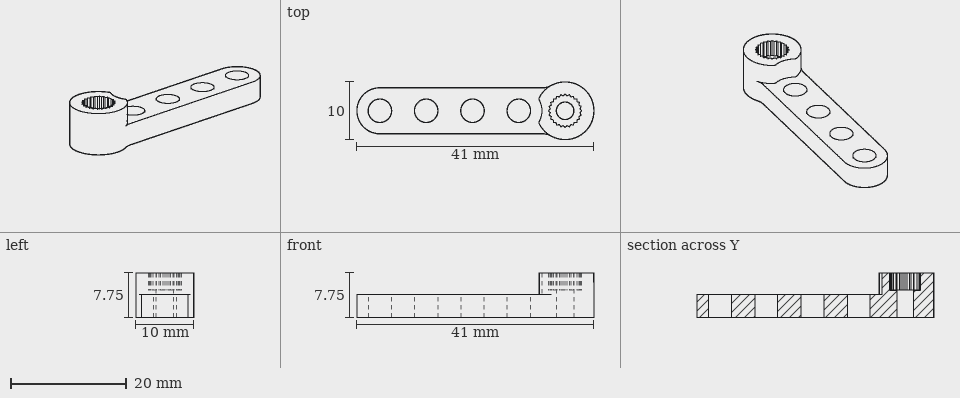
import cadquery as cq
import math

total_length = 41.0
total_height = 7.75
boss_diameter = 10.0
hole_count = 4
hole_diameter = 4.0
arm_height = 4.0
neck_radius = 3.0
notch_edge_radius = 0.5
screw_hole_diameter = 3.0
spline_teeth = 24
spline_tip_radius = 2.85
spline_root_radius = 2.6
spline_depth = 3.0

boss_radius = boss_diameter / 2
pitch = (total_length - boss_radius) / (hole_count + 0.5)
arm_radius = pitch / 2
boss_x = total_length - boss_radius
hole_centers = [(arm_radius + i * pitch, 0) for i in range(hole_count)]
last_hole_x = hole_centers[-1][0]


def make_arm():
    """Bar with a round free end, running under the boss."""
    bar = cq.Workplane("XY").moveTo(arm_radius, arm_radius).lineTo(boss_x, arm_radius)
    bar = bar.lineTo(boss_x, -arm_radius).lineTo(arm_radius, -arm_radius)
    return bar.threePointArc((0, 0), (arm_radius, arm_radius)).close().extrude(arm_height)


def make_neck(side):
    """Fillet web, tangent to the arm side and to the boss; side is +1 or -1."""
    center_y = arm_radius + neck_radius
    center_distance = boss_radius + neck_radius
    center_x = boss_x - math.sqrt(center_distance**2 - center_y**2)
    touch_x = boss_x + (center_x - boss_x) * boss_radius / center_distance
    touch_y = center_y * boss_radius / center_distance
    web = cq.Workplane("XY").moveTo(center_x, 0).lineTo(center_x, side * arm_radius)
    web = web.radiusArc((touch_x, side * touch_y), -side * neck_radius)
    return web.lineTo(boss_x, 0).close().extrude(arm_height)


def make_boss_top():
    """Raised part of the boss, notched concentrically with the nearest hole."""
    top = cq.Workplane("XY", origin=(boss_x, 0, arm_height))
    top = top.circle(boss_radius).extrude(total_height - arm_height)
    notch = cq.Workplane("XY", origin=(last_hole_x, 0, arm_height))
    notch = notch.circle(arm_radius).extrude(total_height - arm_height)
    notched = top.cut(notch)
    notch_edges = cq.selectors.BoxSelector(
        (last_hole_x, -arm_radius, 0), (boss_x, arm_radius, total_height))
    return notched.edges("|Z").edges(notch_edges).fillet(notch_edge_radius)


def make_spline_socket():
    """Toothed blind socket that opens at the top of the boss."""
    points = []
    for i in range(2 * spline_teeth):
        radius = spline_root_radius if i % 2 else spline_tip_radius
        angle = math.pi * i / spline_teeth
        points.append((radius * math.cos(angle), radius * math.sin(angle)))
    socket = cq.Workplane("XY", origin=(boss_x, 0, total_height))
    return socket.polyline(points).close().extrude(-spline_depth)


boss_base = cq.Workplane("XY").center(boss_x, 0).circle(boss_radius).extrude(arm_height)
arm_holes = cq.Workplane("XY").pushPoints(hole_centers).circle(hole_diameter / 2).extrude(arm_height)
screw_hole = cq.Workplane("XY").center(boss_x, 0).circle(screw_hole_diameter / 2).extrude(total_height)

result = make_arm().union(boss_base)
for side in (1, -1):
    result = result.union(make_neck(side))
result = result.union(make_boss_top())
result = result.cut(arm_holes).cut(screw_hole).cut(make_spline_socket())